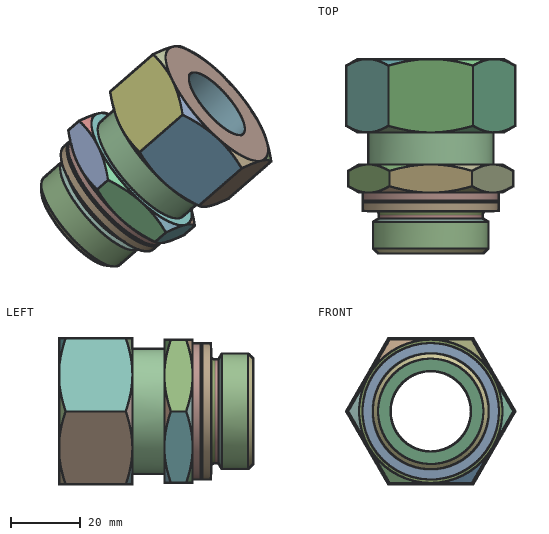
import cadquery as cq
import math

length = 55.75
bore_radius = 11.5

thread_radius = 16.6
spigot_end_radius = 15.1
end_chamfer_length = thread_radius - spigot_end_radius
thread_end = 9.1

neck_radius = 14.95
neck_start = 10.05
flare_start = 11.0
flare_end_radius = 15.3

collar_radius = 19.55
flat_face_radius = 16.9
collar_rim_start = 12.2
collar_face_start = 12.05
groove_start = 14.6
groove_end = 15.2
groove_root_radius = 18.7

body_hex_start = 17.45
body_hex_end = 25.55
body_hex_flats = 41.1
shank_radius = 18.0
nut_start = 34.7
nut_flats = 42.0
hex_chamfer_angle = 30.0


def chamfered_hexagon(start, end, across_flats):
    """Hexagon along Y, corners on X, with cone chamfers touching the flats."""
    corner_radius = across_flats / math.sqrt(3)
    flat_radius = across_flats / 2
    drop = (corner_radius - flat_radius) * math.tan(math.radians(hex_chamfer_angle))
    prism = (
        cq.Workplane("XZ", origin=(0, start, 0))
        .polygon(6, 2 * corner_radius)
        .extrude(start - end)
    )
    envelope = revolve_about_y([
        (0, start),
        (flat_radius, start),
        (corner_radius, start + drop),
        (corner_radius, end - drop),
        (flat_radius, end),
        (0, end),
    ])
    return prism.intersect(envelope)


def revolve_about_y(points):
    """Solid of revolution about Y from (radius, Y) points."""
    return cq.Workplane("XY").polyline(points).close().revolve(360, (0, 0), (0, 1))


turned_profile = (
    cq.Workplane("XY")
    .polyline([
        (0, 0),
        (spigot_end_radius, 0),
        (thread_radius, end_chamfer_length),
        (thread_radius, thread_end),
        (neck_radius, neck_start),
        (neck_radius, flare_start),
    ])
    .tangentArcPoint((flare_end_radius, collar_face_start), relative=False)
    .lineTo(flat_face_radius, collar_face_start)
    .lineTo(collar_radius, collar_rim_start)
    .lineTo(collar_radius, groove_start)
    .lineTo(groove_root_radius, (groove_start + groove_end) / 2)
    .lineTo(collar_radius, groove_end)
    .lineTo(collar_radius, body_hex_start)
    .lineTo(shank_radius, body_hex_start)
    .lineTo(shank_radius, length)
    .lineTo(0, length)
    .close()
)
turned_body = turned_profile.revolve(360, (0, 0), (0, 1))
body_hexagon = chamfered_hexagon(body_hex_start, body_hex_end, body_hex_flats)
union_nut = chamfered_hexagon(nut_start, length, nut_flats)
bore = cq.Workplane("XZ").circle(bore_radius).extrude(-length)

result = turned_body.union(body_hexagon).union(union_nut).cut(bore)